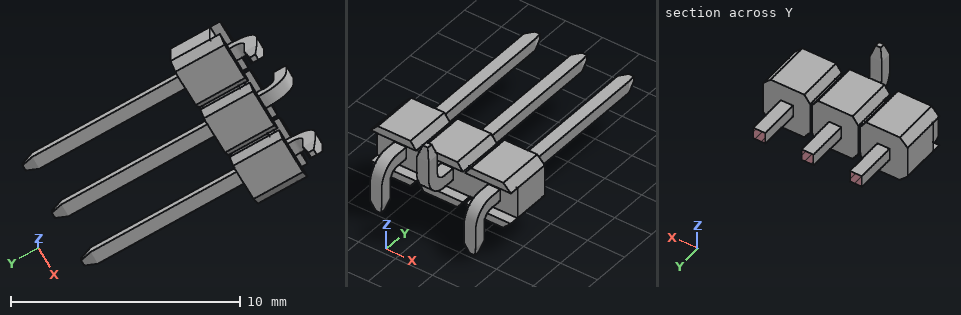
import cadquery as cq
import math


pin_count = 3
pitch = 2.54
housing_height = 2.5
core_depth = 2.0
plate_depth = 2.5
plate_thickness = 0.41
outer_bevel = 0.41
inner_bevel = 0.30
plate_gap = 0.11
groove_depth = 0.13

pin_width = 0.64
tip_width = 0.28
tip_length = 0.6
pin_overall_length = 11.94
pin_overall_height = 4.8
leg_overhang = 3.81
inner_bend_radius = 0.5

row_length = pin_count * pitch
half_height = housing_height / 2
core_height = housing_height - 2 * plate_thickness
outer_bend_radius = inner_bend_radius + pin_width
half_pin = pin_width / 2
mating_end = pin_overall_length - leg_overhang
leg_end = pin_overall_height / 2
bend_y = -leg_overhang + outer_bend_radius
bend_z = half_pin - outer_bend_radius


def position_x(index):
    """X of a pin, counted from the -X end of the row."""
    return (index - (pin_count - 1) / 2) * pitch


def make_core():
    """Continuous bar that holds the pins, grooved between positions on its mating face."""
    core = cq.Workplane("XY").box(row_length, core_depth, core_height).translate((0, -core_depth / 2, 0))
    for index in range(pin_count - 1):
        groove_x = position_x(index) + pitch / 2
        groove = cq.Workplane("XY").box(plate_gap, 2 * groove_depth, core_height)
        core = core.cut(groove.translate((groove_x, 0, 0)))
    return core


def make_plate(index):
    """Top plate of one position, with steeper bevels next to its neighbours."""
    is_first = index == 0
    is_last = index == pin_count - 1
    left = position_x(index) - pitch / 2 + (0 if is_first else plate_gap / 2)
    right = position_x(index) + pitch / 2 - (0 if is_last else plate_gap / 2)
    left_bevel = outer_bevel if is_first else inner_bevel
    right_bevel = outer_bevel if is_last else inner_bevel
    profile = [
        (left, core_height / 2),
        (right, core_height / 2),
        (right - right_bevel, half_height),
        (left + left_bevel, half_height),
    ]
    return cq.Workplane("XZ").polyline(profile).close().extrude(plate_depth)


def make_tip(base_plane):
    """Square tapered tip standing on the given plane."""
    taper_angle = math.degrees(math.atan((pin_width - tip_width) / 2 / tip_length))
    return cq.Workplane(base_plane).rect(pin_width, pin_width).extrude(tip_length, taper=taper_angle)


def make_pin():
    """Pin at X = 0 with its leg bent down."""
    bend_diagonal = math.sqrt(0.5)
    outer_middle = (bend_y - outer_bend_radius * bend_diagonal, bend_z + outer_bend_radius * bend_diagonal)
    inner_middle = (bend_y - inner_bend_radius * bend_diagonal, bend_z + inner_bend_radius * bend_diagonal)
    shaft_end = mating_end - tip_length
    leg_bottom = -leg_end + tip_length
    leg_front = -leg_overhang
    leg_back = leg_front + pin_width
    shaft = (
        cq.Workplane("YZ")
        .moveTo(shaft_end, half_pin)
        .lineTo(bend_y, half_pin)
        .threePointArc(outer_middle, (leg_front, bend_z))
        .lineTo(leg_front, leg_bottom)
        .lineTo(leg_back, leg_bottom)
        .lineTo(leg_back, bend_z)
        .threePointArc(inner_middle, (bend_y, -half_pin))
        .lineTo(shaft_end, -half_pin)
        .close()
        .extrude(half_pin, both=True)
    )
    mating_plane = cq.Plane(origin=(0, shaft_end, 0), xDir=(1, 0, 0), normal=(0, 1, 0))
    leg_plane = cq.Plane(origin=(0, leg_front + half_pin, leg_bottom), xDir=(1, 0, 0), normal=(0, 0, -1))
    return shaft.union(make_tip(mating_plane)).union(make_tip(leg_plane))


result = make_core()
pin_down = make_pin()
pin_up = pin_down.mirror("XY")
for pin_index in range(pin_count):
    plate = make_plate(pin_index)
    pin = pin_down if pin_index % 2 == 0 else pin_up
    result = result.union(plate).union(plate.mirror("XY"))
    result = result.union(pin.translate((position_x(pin_index), 0, 0)))